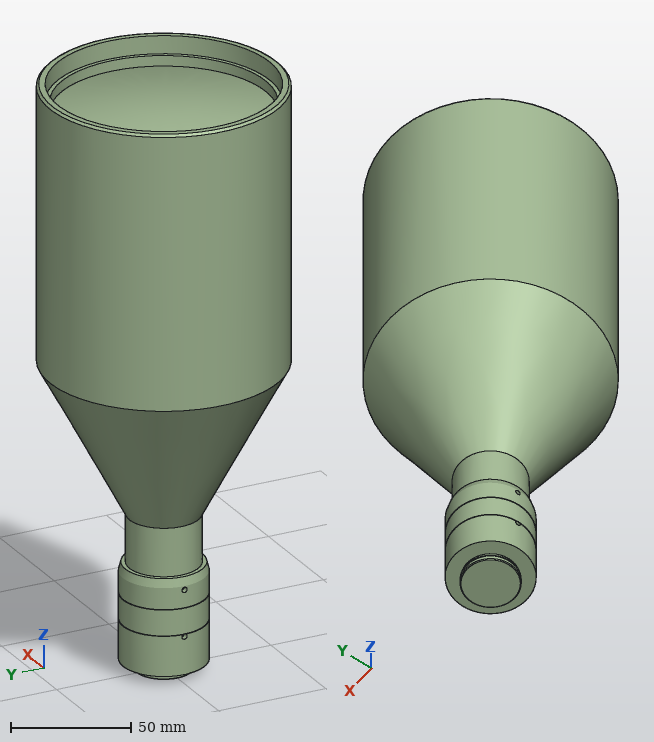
import cadquery as cq

total_length = 265.2
barrel_radius = 53.0
neck_radius = 32.0 / 2
mount_radius = 38.0 / 2
flange_radius = 25.5 / 2
flange_neck_radius = 24.7 / 2

flange_top = 2.7
mount_bottom = 4.2
mount_top = 48.3
neck_top = 70.3
cone_top = 139.8

barrel_chamfer = 1.0
mount_taper_width = 1.0
mount_taper_height = 4.0
flange_chamfer = 0.4

seam_heights = (22.5, 34.5)
seam_width = 0.13
seam_depth = 0.13

opening_radius = 49.3
opening_depth = 8.2
lens_radius = 47.5
lens_edge_depth = 13.0
lens_bulge = 5.3

screw_diameter = 2.5
screw_depth = 2.7
screw_heights = (42.7, 21.5)


def make_body():
    """Revolve the stepped housing, including the domed lens at its front."""
    lens_edge = total_length - lens_edge_depth
    ledge = total_length - opening_depth
    lens_sphere_radius = (lens_radius**2 + lens_bulge**2) / (2 * lens_bulge)
    profile = (
        cq.Workplane("XZ")
        .lineTo(flange_radius - flange_chamfer, 0)
        .lineTo(flange_radius, flange_chamfer)
        .lineTo(flange_radius, flange_top)
        .lineTo(flange_neck_radius, flange_top)
        .lineTo(flange_neck_radius, mount_bottom)
        .lineTo(mount_radius, mount_bottom)
        .lineTo(mount_radius, mount_top - mount_taper_height)
        .lineTo(mount_radius - mount_taper_width, mount_top)
        .lineTo(neck_radius, mount_top)
        .lineTo(neck_radius, neck_top)
        .lineTo(barrel_radius, cone_top)
        .lineTo(barrel_radius, total_length - barrel_chamfer)
        .lineTo(barrel_radius - barrel_chamfer, total_length)
        .lineTo(opening_radius, total_length)
        .lineTo(opening_radius, ledge)
        .lineTo(lens_radius, ledge)
        .lineTo(lens_radius, lens_edge)
        .radiusArc((0, lens_edge + lens_bulge), -lens_sphere_radius)
        .close()
    )
    return profile.revolve(360, (0, 0, 0), (0, 1, 0))


def seam_groove(height):
    """Hairline ring groove centred on the given height."""
    return (
        cq.Workplane("XY", origin=(0, 0, height - seam_width / 2))
        .circle(mount_radius)
        .circle(mount_radius - seam_depth)
        .extrude(seam_width)
    )


def screw_hole(height):
    """Blind radial hole entering the mount from -X."""
    return (
        cq.Workplane("YZ", origin=(-mount_radius, 0, height))
        .circle(screw_diameter / 2)
        .extrude(screw_depth)
    )


result = make_body()
for seam_height in seam_heights:
    result = result.cut(seam_groove(seam_height))
for screw_height in screw_heights:
    result = result.cut(screw_hole(screw_height))